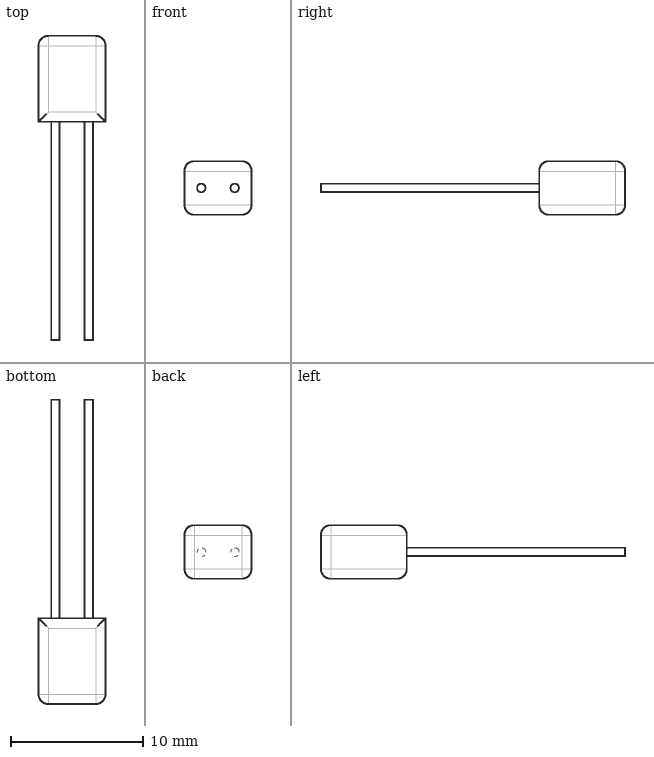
import cadquery as cq

total_length = 23.0
housing_width = 5.09
housing_depth = 6.51
housing_height = 4.07
edge_radius = 0.75

lead_diameter = 0.65
lead_pitch = 2.53
lead_length = total_length - housing_depth


def make_housing():
    """Rounded block with its front face on the XZ plane; only the two front upright edges stay sharp."""
    block = cq.Workplane("XY").box(
        housing_width, housing_depth, housing_height, centered=(True, False, True)
    )
    return block.edges("|X or |Y or (|Z and >Y)").fillet(edge_radius)


def make_lead(x):
    """Straight round wire that meets the housing's front face and runs toward -Y."""
    return cq.Workplane("XZ").center(x, 0).circle(lead_diameter / 2).extrude(lead_length)


housing = make_housing()

leads = []
for side in (-1, 1):
    leads.append(make_lead(side * lead_pitch / 2))

result = cq.Compound.makeCompound([housing.val(), *[lead.val() for lead in leads]])